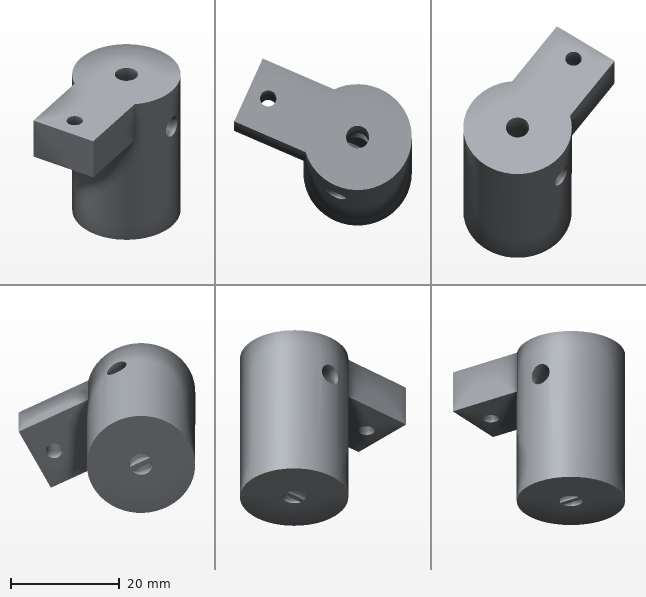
import cadquery as cq

body_diameter = 20.0
body_height = 30.0

overall_length = 32.0
arm_reach = overall_length - body_diameter / 2
arm_width = 13.0
arm_thickness = 8.0

bore_diameter = 4.25
arm_hole_diameter = 3.0
arm_hole_distance = 18.0
cross_hole_diameter = 4.0
cross_hole_height = body_height - arm_thickness

web_thickness = 1.0
web_height = cross_hole_height - cross_hole_diameter / 2


def vertical_cylinder(diameter, height):
    return cq.Workplane("XY").circle(diameter / 2).extrude(height)


def make_arm():
    return (
        cq.Workplane("XY")
        .workplane(offset=body_height - arm_thickness)
        .center(0, -arm_reach / 2)
        .rect(arm_width, arm_reach)
        .extrude(arm_thickness)
    )


def make_bore():
    """Through bore less the web that spans it along Y."""
    web = cq.Workplane("XY").box(
        web_thickness, bore_diameter, web_height, centered=(True, True, False)
    )
    return vertical_cylinder(bore_diameter, body_height).cut(web)


def make_cross_hole():
    return (
        cq.Workplane("YZ")
        .center(0, cross_hole_height)
        .circle(cross_hole_diameter / 2)
        .extrude(body_diameter / 2, both=True)
    )


arm_hole = vertical_cylinder(arm_hole_diameter, body_height).translate((0, -arm_hole_distance, 0))

result = (
    vertical_cylinder(body_diameter, body_height)
    .union(make_arm())
    .cut(make_bore())
    .cut(make_cross_hole())
    .cut(arm_hole)
)